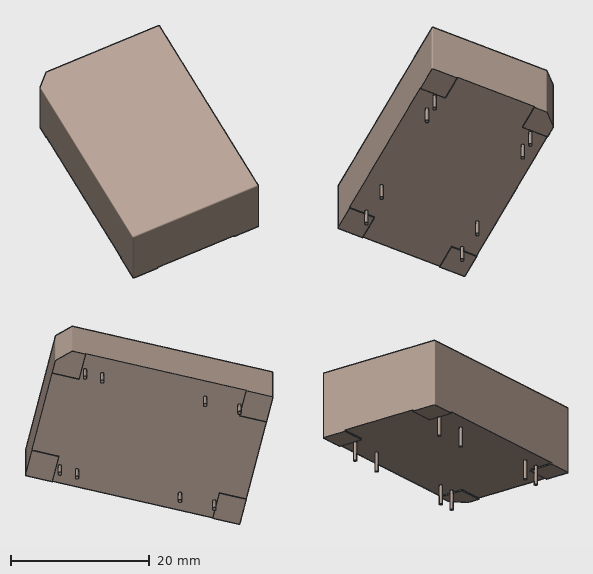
import cadquery as cq

LENGTH = 31.8
WIDTH = 20.3
HEIGHT = 10.18
CORNER_CUT = 2.0
EDGE_RADIUS = 0.2

FOOT_SIZE = 4.0
RELIEF_DEPTH = 0.2

OVERALL_HEIGHT = 12.9
PIN_DIAMETER = 0.5
PIN_PITCH = 2.55
PIN_STEPS = (0, 1, 7, 9)
ROW_SPACING = 6 * PIN_PITCH
PIN_OFFSET_X = 0.05
PIN_TIP_Z = HEIGHT - OVERALL_HEIGHT


def make_housing():
    """Block with one cut corner, rounded edges and a relieved underside."""
    block = (
        cq.Workplane("XY")
        .box(LENGTH, WIDTH, HEIGHT, centered=(True, True, False))
        .edges("|Z and <X and <Y")
        .chamfer(CORNER_CUT)
    )
    block = block.edges("|Z or >Z").fillet(EDGE_RADIUS)
    lengthwise_relief = cq.Workplane("XY").box(
        LENGTH, WIDTH - 2 * FOOT_SIZE, RELIEF_DEPTH, centered=(True, True, False)
    )
    crosswise_relief = cq.Workplane("XY").box(
        LENGTH - 2 * FOOT_SIZE, WIDTH, RELIEF_DEPTH, centered=(True, True, False)
    )
    return block.cut(lengthwise_relief).cut(crosswise_relief)


def make_pin(x, y):
    """Round pin from its tip up to the relieved underside."""
    return (
        cq.Workplane("XY", origin=(x, y, PIN_TIP_Z))
        .circle(PIN_DIAMETER / 2)
        .extrude(RELIEF_DEPTH - PIN_TIP_Z)
    )


housing = make_housing()

first_pin_x = PIN_OFFSET_X - PIN_STEPS[-1] * PIN_PITCH / 2
pins = []
for row_y in (-ROW_SPACING / 2, ROW_SPACING / 2):
    for step in PIN_STEPS:
        pins.append(make_pin(first_pin_x + step * PIN_PITCH, row_y).val())

result = cq.Compound.makeCompound([housing.val(), *pins])